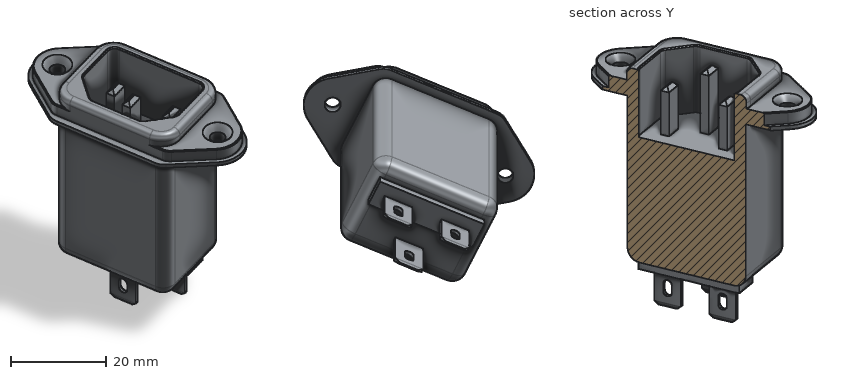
import cadquery as cq
import math

overall_height = 56.25
overlap = 1.1

plate_slope = math.radians(36.4)
flange_length = 52.1
flange_width = 25.1
flange_thickness = 0.95
flange_tip_radius = 6.5
flange_shoulder_radius = 3.9
raised_length = 50.1
raised_width = 21.95
raised_top = 3.8
raised_tip_radius = 5.9
raised_shoulder_radius = 3.05
raised_edge_chamfer = 0.2

screw_spacing = 40.0
screw_hole_diameter = 3.4
countersink_diameter = 6.3
countersink_half_angle = 45

rim_length = 29.15
rim_top = 6.8
rim_corner_radius = 4.6
rim_edge_radius = 1.5

socket_length = 23.45
socket_width = 16.8
socket_floor = -9.0
socket_corner_cut = 5.35
socket_corner_radius = 1.8
socket_edge_chamfer = 0.3
socket_chamfer_angle = 45

pin_size_x = 2.0
pin_size_y = 4.1
line_pin_top = 2.2
earth_pin_top = 5.75
pin_tip_height = 0.9
pin_tip_inset = 0.95
pin_offset_x = 7.0
pin_offset_y = 2.35

body_length = 28.5
body_width = 21.4
body_height = 38.55
body_radius = 3.0

block_length = 24.15
block_width = 5.9
block_height = 2.1
block_center_y = 3.7

tab_width = 6.4
tab_thickness = 0.8
tab_spacing = 6.6
side_tab_y = 3.6
side_tab_end = rim_top - overall_height
center_tab_y = -5.3
center_tab_rise = 0.55
center_tab_end = side_tab_end + center_tab_rise
tab_tip_height = 0.9
tab_tip_inset = 1.0
tab_tip_bevel = 0.2
tab_slot_length = 3.75
tab_slot_width = 2.0
tab_slot_height = 4.45


def rounded_hexagon(length, width, tip_radius, shoulder_radius, bottom, top):
    """Elongated hexagonal plate with rounded tips on the X axis."""
    tip_center = length / 2 - tip_radius
    tip_x = tip_center + tip_radius / math.sin(plate_slope)
    half_width = width / 2
    shoulder_x = tip_x - half_width / math.tan(plate_slope)
    outline = [
        (tip_x, 0),
        (shoulder_x, half_width),
        (-shoulder_x, half_width),
        (-tip_x, 0),
        (-shoulder_x, -half_width),
        (shoulder_x, -half_width),
    ]
    plate = cq.Workplane("XY").workplane(offset=bottom).polyline(outline).close().extrude(top - bottom)
    plate = plate.edges("|Z and (<X or >X)").fillet(tip_radius)
    return plate.edges("|Z and (<Y or >Y)").fillet(shoulder_radius)


def upright_box(length, width, bottom, top, x=0, y=0):
    """Box given by its X and Y sizes, its centre and its Z range."""
    return cq.Workplane("XY").workplane(offset=bottom).center(x, y).rect(length, width).extrude(top - bottom)


def make_flange():
    base = rounded_hexagon(
        flange_length, flange_width, flange_tip_radius, flange_shoulder_radius, 0, flange_thickness
    )
    raised = rounded_hexagon(
        raised_length, raised_width, raised_tip_radius, raised_shoulder_radius, 0, raised_top
    )
    return base.union(raised.faces(">Z").edges().chamfer(raised_edge_chamfer))


def make_rim():
    rim = upright_box(rim_length, raised_width, 0, rim_top)
    rim = rim.edges("|Z").fillet(rim_corner_radius)
    return rim.faces(">Z").edges().fillet(rim_edge_radius)


def make_body():
    body = upright_box(body_length, body_width, -body_height, overlap)
    body = body.edges("|Z").fillet(body_radius)
    return body.faces("<Z").edges().fillet(body_radius)


def make_socket():
    """Cutter for the cavity: a rectangle with both -Y corners cut at 45 degrees."""
    half_length = socket_length / 2
    half_width = socket_width / 2
    cut_x = half_length - socket_corner_cut
    cut_y = socket_corner_cut - half_width
    outline = [
        (half_length, half_width),
        (-half_length, half_width),
        (-half_length, cut_y),
        (-cut_x, -half_width),
        (cut_x, -half_width),
        (half_length, cut_y),
    ]
    depth = rim_top - socket_floor - socket_edge_chamfer
    socket = cq.Workplane("XY").workplane(offset=socket_floor).polyline(outline).close().extrude(depth)
    socket = socket.edges("|Z").fillet(socket_corner_radius)
    mouth = socket.faces(">Z").wires().toPending().workplane()
    return mouth.extrude(socket_edge_chamfer, taper=-socket_chamfer_angle)


def make_screw_hole(x):
    """Cutter for a through hole with a countersink in the raised plate."""
    hole = cq.Workplane("XY").center(x, 0).circle(screw_hole_diameter / 2).extrude(raised_top)
    sink_width = (countersink_diameter - screw_hole_diameter) / 2
    sink_depth = sink_width / math.tan(math.radians(countersink_half_angle))
    sink = (
        cq.Workplane("XY")
        .workplane(offset=raised_top - sink_depth)
        .center(x, 0)
        .circle(screw_hole_diameter / 2)
        .extrude(sink_depth, taper=-countersink_half_angle)
    )
    return hole.union(sink)


def make_pin(x, y, top):
    """Rectangular pin ending in a roof-shaped point."""
    shoulder = top - pin_tip_height
    pin = upright_box(pin_size_x, pin_size_y, socket_floor - overlap, shoulder, x, y)
    tip = (
        cq.Workplane("XY")
        .workplane(offset=shoulder)
        .center(x, y)
        .rect(pin_size_x, pin_size_y)
        .workplane(offset=pin_tip_height)
        .rect(pin_size_x - 2 * pin_tip_inset, pin_size_y - 2 * pin_tip_inset)
        .loft()
    )
    return pin.union(tip)


def make_tab(x, y, end):
    """Solder tab with a tapered end and an upright slot."""
    shoulder = end + tab_tip_height
    tab = upright_box(tab_width, tab_thickness, shoulder, overlap - body_height, x, y)
    tip = (
        cq.Workplane("XY")
        .workplane(offset=end)
        .center(x, y)
        .rect(tab_width - 2 * tab_tip_inset, tab_thickness - 2 * tab_tip_bevel)
        .workplane(offset=tab_tip_height)
        .rect(tab_width, tab_thickness)
        .loft()
    )
    slot = (
        cq.Workplane("XZ", origin=(x, y, end + tab_slot_height))
        .slot2D(tab_slot_length, tab_slot_width, 90)
        .extrude(tab_thickness, both=True)
    )
    return tab.union(tip).cut(slot)


def make_terminal_block():
    bottom = -body_height - block_height
    top = overlap - body_height
    return upright_box(block_length, block_width, bottom, top, 0, block_center_y)


result = make_flange().union(make_rim()).union(make_body()).union(make_terminal_block())
result = result.cut(make_socket())

for side in (-1, 1):
    result = result.cut(make_screw_hole(side * screw_spacing / 2))
    result = result.union(make_pin(side * pin_offset_x, pin_offset_y, line_pin_top))
    result = result.union(make_tab(side * tab_spacing, side_tab_y, side_tab_end))

result = result.union(make_pin(0, -pin_offset_y, earth_pin_top))
result = result.union(make_tab(0, center_tab_y, center_tab_end))